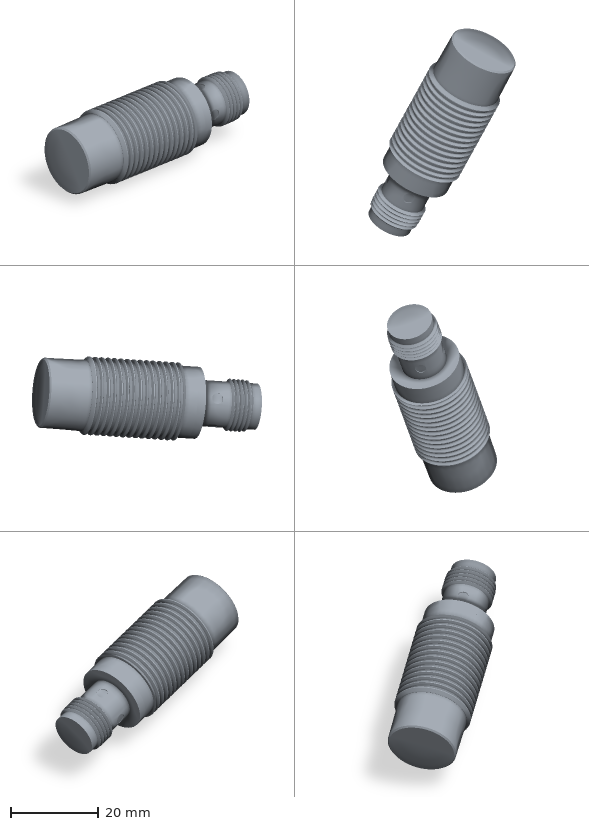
import cadquery as cq


total_length = 51.0
cap_length = 10.0
housing_length = 25.0
collar_length = 2.0
housing_end = cap_length + housing_length
collar_end = housing_end + collar_length

cap_base_radius = 8.2
cap_tip_radius = 8.05
cap_edge_chamfer = 0.35

housing_radius = 8.25
housing_thread_radius = 18.0 / 2
housing_plain_length = 3.0
housing_ridge_count = 14
housing_ridge_base = 0.85
housing_ridge_flat = 0.2
half_ridge_gap = 1.4

connector_radius = 5.3
connector_thread_radius = 6.0
connector_end_ridge_radius = 5.9
connector_pitch = 1.0
connector_ridge_count = 5
connector_ridge_base = 0.95
connector_ridge_flat = 0.05
connector_plain_length = 2.05

window_count = 4
window_radius = 1.3
window_depth = 1.0
window_station = 40.5
window_face = 5.1


def revolved(profile):
    """Turn a list of (radius, y) points into a solid of revolution about Y."""
    outline = [(0, profile[0][1])] + profile + [(0, profile[-1][1])]
    return cq.Workplane("XY").polyline(outline).close().revolve(360, (0, 0, 0), (0, 1, 0))


def ridge(y, root_radius, crest_radius, base, flat):
    """Profile points of one thread ridge centred on y, in order of rising y."""
    return [
        (root_radius, y - base / 2),
        (crest_radius, y - flat / 2),
        (crest_radius, y + flat / 2),
        (root_radius, y + base / 2),
    ]


def make_cap():
    return revolved([
        (cap_tip_radius - cap_edge_chamfer, 0),
        (cap_tip_radius, cap_edge_chamfer),
        (cap_base_radius, cap_length),
    ])


def make_housing():
    thread_end = housing_end - housing_plain_length
    lead_in = housing_thread_radius - housing_radius
    first_ridge = cap_length + lead_in + housing_ridge_flat / 2
    last_ridge = thread_end - half_ridge_gap
    pitch = (last_ridge - first_ridge) / (housing_ridge_count - 1)

    profile = [(housing_radius, cap_length)]
    for i in range(housing_ridge_count):
        points = ridge(
            first_ridge + i * pitch,
            housing_radius,
            housing_thread_radius,
            housing_ridge_base,
            housing_ridge_flat,
        )
        profile += points[1:] if i == 0 else points
    profile += [
        (housing_radius, thread_end - housing_ridge_base / 2),
        (housing_thread_radius, thread_end),
        (housing_radius, thread_end),
        (housing_radius, housing_end),
    ]
    return revolved(profile)


def make_collar():
    return cq.Workplane("XZ", origin=(0, collar_end, 0)).circle(housing_radius).extrude(collar_length)


def radial_cylinders(outer_end):
    """Round bodies at the window places, from the pocket floor out to outer_end, one per quarter turn."""
    window_floor = window_face - window_depth
    cylinder = (
        cq.Workplane("XY", origin=(0, window_station, window_floor))
        .circle(window_radius)
        .extrude(outer_end - window_floor)
    )
    step = 360 / window_count
    return [cylinder.rotate((0, 0, 0), (0, 1, 0), i * step) for i in range(window_count)]


def make_windows():
    """Flat-faced round plugs, set slightly below the neck surface."""
    return radial_cylinders(window_face)


def make_connector():
    rear_ridge = total_length - connector_plain_length - connector_ridge_base / 2
    profile = [(connector_radius, collar_end)]
    for i in reversed(range(connector_ridge_count)):
        crest_radius = connector_end_ridge_radius if i == 0 else connector_thread_radius
        profile += ridge(
            rear_ridge - i * connector_pitch,
            connector_radius,
            crest_radius,
            connector_ridge_base,
            connector_ridge_flat,
        )
    profile.append((connector_radius, total_length))
    connector = revolved(profile)
    for pocket in radial_cylinders(connector_thread_radius):
        connector = connector.cut(pocket)
    return connector


cap = make_cap()
housing = make_housing()
collar = make_collar()
windows = make_windows()
connector = make_connector()

result = cq.Compound.makeCompound(
    [cap.val(), housing.val(), collar.val(), connector.val()] + [w.val() for w in windows]
)